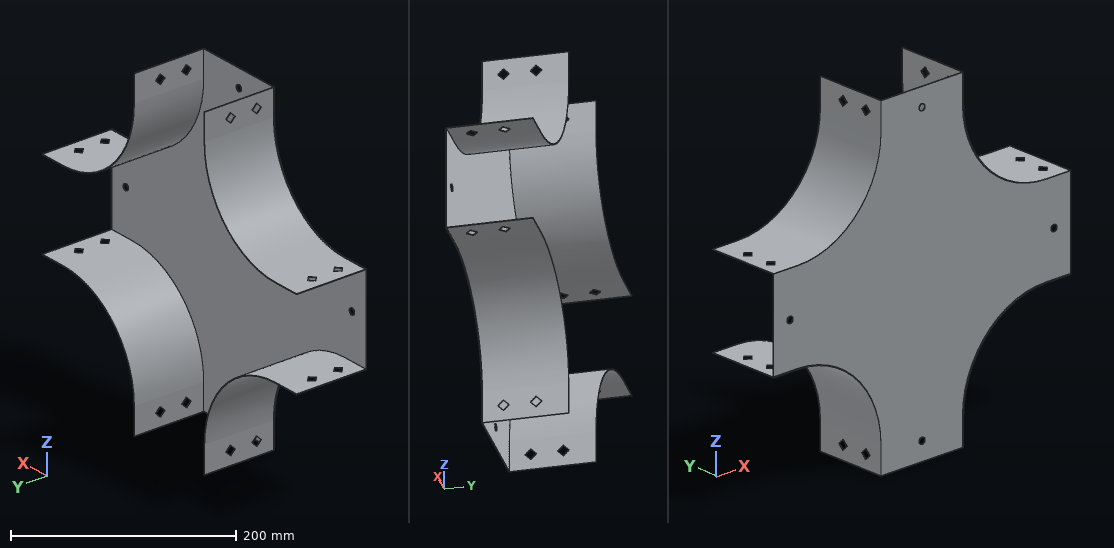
import cadquery as cq
import math

SPAN = 360.0
DEPTH = 80.0
ARM_WIDTH = 100.0
BEND_RADIUS = 100.0
SHEET = 0.8

PLATE_HOLE_DIAMETER = 7.0
PLATE_HOLE_INSET = 20.0

WALL_HOLE_SIDE = 7.2
WALL_HOLE_INSET = 15.0
WALL_HOLE_FIRST_Y = 20.0
WALL_HOLE_PITCH = 30.0

HALF_SPAN = SPAN / 2
HALF_WIDTH = ARM_WIDTH / 2
BEND_CENTER = HALF_WIDTH + BEND_RADIUS
WALL_HOLE_DIAGONAL = WALL_HOLE_SIDE * math.sqrt(2)
ARM_ANGLES = [0, 90, 180, 270]


def around_y(shape, angle):
    """Turn a shape about the central Y axis of the cross."""
    return shape.rotate((0, 0, 0), (0, 1, 0), angle)


def corner_prism(offset):
    """Waste between the +X and +Z arms, grown towards the center by offset."""
    edge = HALF_WIDTH - offset
    radius = BEND_RADIUS + offset
    return (
        cq.Workplane("XZ")
        .moveTo(edge, HALF_SPAN)
        .lineTo(edge, BEND_CENTER)
        .radiusArc((BEND_CENTER, edge), -radius)
        .lineTo(HALF_SPAN, edge)
        .lineTo(HALF_SPAN, HALF_SPAN)
        .close()
        .extrude(-DEPTH)
    )


def cross_block(offset):
    """Solid cross with rounded inner corners, its sides moved in by offset."""
    block = cq.Workplane("XY").box(SPAN, DEPTH, SPAN).translate((0, DEPTH / 2, 0))
    for angle in ARM_ANGLES:
        block = block.cut(around_y(corner_prism(offset), angle))
    return block


def plate_hole():
    """Cutter for the round hole near the +X end of the plate."""
    return (
        cq.Workplane("XZ")
        .center(HALF_SPAN - PLATE_HOLE_INSET, 0)
        .circle(PLATE_HOLE_DIAMETER / 2)
        .extrude(-SHEET)
    )


def wall_holes():
    """Cutters for the square holes through both walls of the +X arm."""
    x = HALF_SPAN - WALL_HOLE_INSET
    second_y = WALL_HOLE_FIRST_Y + WALL_HOLE_PITCH
    return (
        cq.Workplane("XY")
        .pushPoints([(x, WALL_HOLE_FIRST_Y), (x, second_y)])
        .polygon(4, WALL_HOLE_DIAGONAL)
        .extrude(HALF_WIDTH, both=True)
    )


cavity = cross_block(SHEET).translate((0, SHEET, 0))
result = cross_block(0).cut(cavity)

for angle in ARM_ANGLES:
    result = result.cut(around_y(plate_hole(), angle))
    result = result.cut(around_y(wall_holes(), angle))